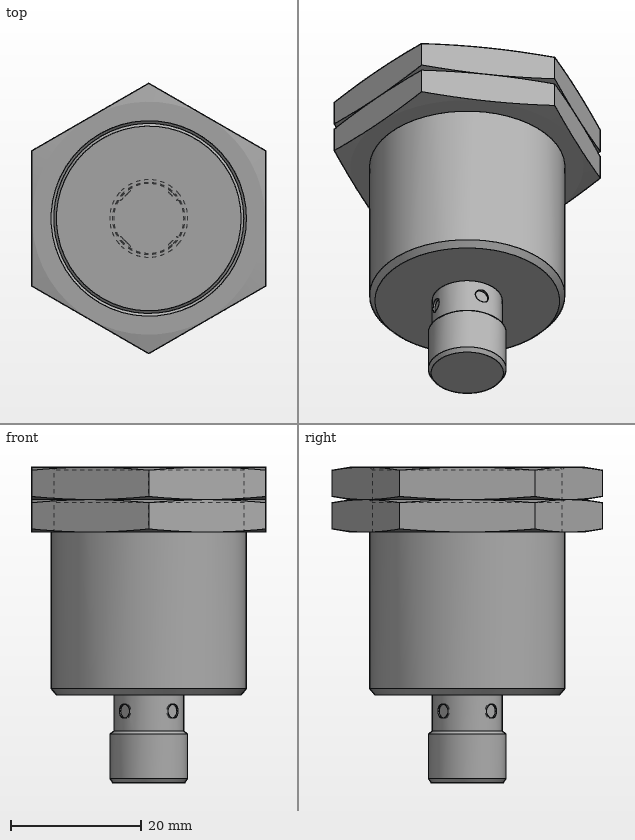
import cadquery as cq
import math

total_height = 48.5

nut_count = 2
nut_across_flats = 36.0
nut_across_corners = nut_across_flats / math.cos(math.pi / 6)
nut_height = 5.0
nut_face_diameter = 35.8
nut_corner_drop = 0.5
nut_bore_diameter = 29.2

barrel_diameter = 30.0
barrel_bottom_z = 13.5
barrel_end_diameter = 28.35
barrel_chamfer_height = 0.95
nut_seat_z = total_height - nut_count * nut_height
bore_chamfer = (barrel_diameter - nut_bore_diameter) / 2
top_chamfer = (nut_bore_diameter - barrel_end_diameter) / 2

neck_diameter = 10.75
connector_diameter = 12.0
connector_cone_top_z = 7.95
connector_cone_bottom_z = 7.45
connector_tip_diameter = 11.1
connector_tip_height = 0.7

hole_count = 4
hole_diameter = 2.2
hole_depth = 0.4
hole_z = 11.0
first_hole_angle = 45.0


def revolve_profile(points):
    """Revolve (radius, z) points about the Z axis."""
    return cq.Workplane("XZ").polyline(points).close().revolve(360, (0, 0, 0), (0, 1, 0))


def make_neck_hole(angle):
    """Radial cutter that ends hole_depth below the neck surface."""
    floor_radius = neck_diameter / 2 - hole_depth
    direction = cq.Vector(math.cos(math.radians(angle)), math.sin(math.radians(angle)), 0)
    start = direction * floor_radius + cq.Vector(0, 0, hole_z)
    cutter_length = 2 * hole_depth
    return cq.Solid.makeCylinder(hole_diameter / 2, cutter_length, start, direction)


def make_sensor():
    """Barrel with a reduced upper end for the nuts and a connector below."""
    body = revolve_profile([
        (0, 0),
        (connector_tip_diameter / 2, 0),
        (connector_diameter / 2, connector_tip_height),
        (connector_diameter / 2, connector_cone_bottom_z),
        (neck_diameter / 2, connector_cone_top_z),
        (neck_diameter / 2, barrel_bottom_z),
        (barrel_end_diameter / 2, barrel_bottom_z),
        (barrel_diameter / 2, barrel_bottom_z + barrel_chamfer_height),
        (barrel_diameter / 2, nut_seat_z),
        (nut_bore_diameter / 2, nut_seat_z),
        (nut_bore_diameter / 2, total_height - top_chamfer),
        (barrel_end_diameter / 2, total_height),
        (0, total_height),
    ])
    for index in range(hole_count):
        body = body.cut(cq.Workplane(make_neck_hole(first_hole_angle + index * 360 / hole_count)))
    return body


def make_nut(bottom_z):
    """Hexagon nut with conical corner chamfers and a chamfered upper bore edge."""
    hexagon = (
        cq.Workplane("XY")
        .polygon(6, nut_across_corners)
        .extrude(nut_height)
        .rotate((0, 0, 0), (0, 0, 1), 30)
    )
    envelope = revolve_profile([
        (nut_bore_diameter / 2, 0),
        (nut_face_diameter / 2, 0),
        (nut_across_corners / 2, nut_corner_drop),
        (nut_across_corners / 2, nut_height - nut_corner_drop),
        (nut_face_diameter / 2, nut_height),
        (nut_bore_diameter / 2 + bore_chamfer, nut_height),
        (nut_bore_diameter / 2, nut_height - bore_chamfer),
    ])
    return hexagon.intersect(envelope).translate((0, 0, bottom_z))


sensor = make_sensor()
nuts = [make_nut(nut_seat_z + index * nut_height) for index in range(nut_count)]

result = cq.Compound.makeCompound([sensor.solids().val(), *[nut.solids().val() for nut in nuts]])